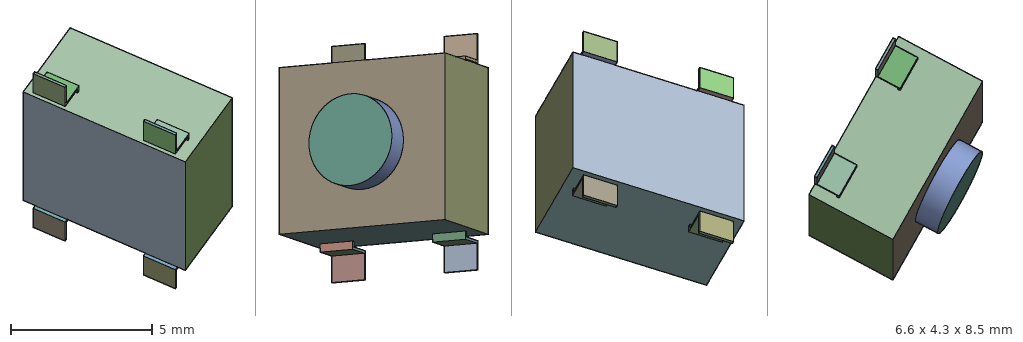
import cadquery as cq

body_width = 6.6
body_depth = 3.4
body_height = 6.0

button_diameter = 3.3
button_length = 0.9

overall_height = 8.5
lead_width = 1.3
lead_spacing = 4.48
lead_thickness = 0.1
lead_depth = 1.0
foot_length = 1.05


def make_body():
    return cq.Workplane("XY").box(
        body_width, body_depth, body_height, centered=(True, False, True)
    )


def make_button():
    face = cq.Workplane("XZ", origin=(0, body_depth, 0))
    return face.circle(button_diameter / 2).extrude(-button_length)


def make_upper_lead(center_x):
    """Lead rising from the top of the body: root, arm toward -Y, then foot."""
    root_z = body_height / 2
    tip_z = overall_height / 2
    arm_bottom_z = tip_z - foot_length
    arm_top_z = arm_bottom_z + lead_thickness
    profile = [
        (lead_depth, root_z),
        (lead_depth, arm_top_z),
        (lead_thickness, arm_top_z),
        (lead_thickness, tip_z),
        (0, tip_z),
        (0, arm_bottom_z),
        (lead_depth - lead_thickness, arm_bottom_z),
        (lead_depth - lead_thickness, root_z),
    ]
    side_plane = cq.Workplane("YZ", origin=(center_x, 0, 0))
    return side_plane.polyline(profile).close().extrude(lead_width / 2, both=True)


result = make_body().union(make_button())
for center_x in (-lead_spacing / 2, lead_spacing / 2):
    upper_lead = make_upper_lead(center_x)
    result = result.union(upper_lead).union(upper_lead.mirror("XY"))